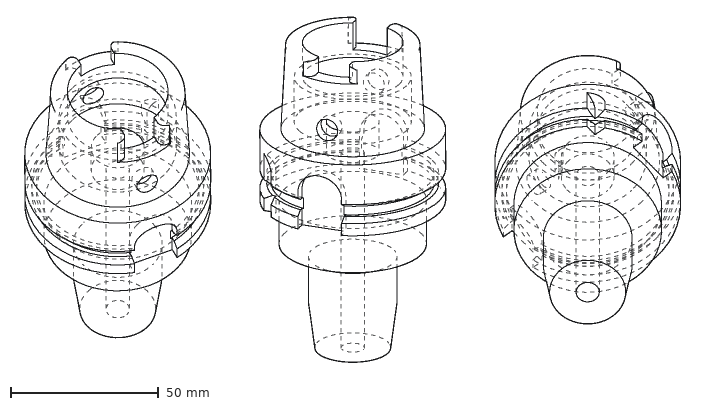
import cadquery as cq
import math

TOTAL_LENGTH = 112.0
TIP_RADIUS = 12.9
NECK_RADIUS = 15.0
BODY_RADIUS = 25.0
FLANGE_RADIUS = 31.5
TAPER_BASE_RADIUS = 24.3
TAPER_TOP_RADIUS = 22.7
TAPER_TOP_FILLET = 1.0

NOSE_TOP_Z = 16.6
NECK_TOP_Z = 33.5
BODY_BOTTOM_Z = 38.0
FLANGE_BOTTOM_Z = 54.2
FLANGE_TOP_Z = 80.2

GROOVE_FLOOR_RADIUS = 27.5
GROOVE_SIDE_RADIUS = 29.1
GROOVE_BOTTOM_Z = 60.3
GROOVE_TOP_Z = 64.1
GROOVE_FLARE = 1.6

BORE_RADIUS = 17.0
UNDERCUT_RADIUS = 19.8
UNDERCUT_TOP_Z = 99.3
BORE_FLOOR_Z = 82.9
COUNTERBORE_RADIUS = 9.0
COUNTERBORE_DEPTH = 11.2
THROUGH_RADIUS = 3.9

DRIVE_SLOT_WIDTH = 12.4
SHALLOW_SLOT_DEPTH = 5.7
DEEP_SLOT_DEPTH = 10.0
DRIVE_SLOT_CORNER = 2.5

CROSS_HOLE_RADIUS = 3.8
CROSS_HOLE_Z = 89.2

FLANGE_SLOT_TOP_Z = 75.3
FLANGE_SLOT_WIDTH = 15.9
FLANGE_SLOT_FLOOR_X = 26.5
NOTCH_WIDTH = 11.2
NOTCH_WALL_Y = 20.2
NOTCH_FLOOR_X = 19.8


def turned_body():
    """Revolve the outer profile, including the gripper groove."""
    profile = [
        (0, 0),
        (TIP_RADIUS, 0),
        (NECK_RADIUS, NOSE_TOP_Z),
        (NECK_RADIUS, NECK_TOP_Z),
        (BODY_RADIUS, BODY_BOTTOM_Z),
        (BODY_RADIUS, FLANGE_BOTTOM_Z),
        (FLANGE_RADIUS, FLANGE_BOTTOM_Z),
        (FLANGE_RADIUS, GROOVE_BOTTOM_Z - GROOVE_FLARE),
        (GROOVE_SIDE_RADIUS, GROOVE_BOTTOM_Z),
        (GROOVE_FLOOR_RADIUS, GROOVE_BOTTOM_Z),
        (GROOVE_FLOOR_RADIUS, GROOVE_TOP_Z),
        (GROOVE_SIDE_RADIUS, GROOVE_TOP_Z),
        (FLANGE_RADIUS, GROOVE_TOP_Z + GROOVE_FLARE),
        (FLANGE_RADIUS, FLANGE_TOP_Z),
        (TAPER_BASE_RADIUS, FLANGE_TOP_Z),
        (TAPER_TOP_RADIUS, TOTAL_LENGTH),
        (0, TOTAL_LENGTH),
    ]
    return cq.Workplane("XZ").polyline(profile).close().revolve(360, (0, 0), (0, 1))


def axial_hole():
    """Revolve the clamping bore, its undercut, the counterbore and the through hole."""
    counterbore_floor_z = BORE_FLOOR_Z - COUNTERBORE_DEPTH
    profile = [
        (0, 0),
        (THROUGH_RADIUS, 0),
        (THROUGH_RADIUS, counterbore_floor_z),
        (COUNTERBORE_RADIUS, counterbore_floor_z),
        (COUNTERBORE_RADIUS, BORE_FLOOR_Z),
        (UNDERCUT_RADIUS, BORE_FLOOR_Z),
        (UNDERCUT_RADIUS, UNDERCUT_TOP_Z),
        (BORE_RADIUS, UNDERCUT_TOP_Z),
        (BORE_RADIUS, TOTAL_LENGTH),
        (0, TOTAL_LENGTH),
    ]
    return cq.Workplane("XZ").polyline(profile).close().revolve(360, (0, 0), (0, 1))


def drive_slot(side, depth):
    """Slot opening the taper end from the axis outward; side is -1 or 1 along X.

    Its mouth flares along arcs tangent to the slot walls and to the taper's rim.
    """
    half_width = DRIVE_SLOT_WIDTH / 2
    arc_centre_radius = TAPER_TOP_RADIUS - DRIVE_SLOT_CORNER
    arc_y = half_width + DRIVE_SLOT_CORNER
    arc_x = math.sqrt(arc_centre_radius**2 - arc_y**2)
    rim_angle = math.atan2(arc_y, arc_x)
    middle_angle = (rim_angle - math.pi / 2) / 2

    def on_arc(angle):
        x = arc_x + DRIVE_SLOT_CORNER * math.cos(angle)
        y = arc_y + DRIVE_SLOT_CORNER * math.sin(angle)
        return (side * x, y)

    half_slot = (
        cq.Workplane("XY", origin=(0, 0, TOTAL_LENGTH - depth))
        .lineTo(0, half_width)
        .lineTo(side * arc_x, half_width)
        .threePointArc(on_arc(middle_angle), on_arc(rim_angle))
        .lineTo(side * FLANGE_RADIUS * math.cos(rim_angle), FLANGE_RADIUS * math.sin(rim_angle))
        .lineTo(side * FLANGE_RADIUS, 0)
        .close()
        .extrude(depth)
    )
    return half_slot.union(half_slot.mirror("XZ"))


def flange_slot(side, centre_y, width, floor_x):
    """Round-topped slot from the flange underside, with a flat floor facing along X."""
    arch_radius = width / 2
    arch_z = FLANGE_SLOT_TOP_Z - arch_radius
    return (
        cq.Workplane("YZ", origin=(side * floor_x, 0, 0))
        .moveTo(centre_y - arch_radius, FLANGE_BOTTOM_Z)
        .lineTo(centre_y - arch_radius, arch_z)
        .threePointArc((centre_y, FLANGE_SLOT_TOP_Z), (centre_y + arch_radius, arch_z))
        .lineTo(centre_y + arch_radius, FLANGE_BOTTOM_Z)
        .close()
        .extrude(side * FLANGE_RADIUS)
    )


holder = turned_body().faces(">Z").edges().fillet(TAPER_TOP_FILLET)
holder = holder.cut(axial_hole())
holder = holder.cut(drive_slot(-1, SHALLOW_SLOT_DEPTH))
holder = holder.cut(drive_slot(1, DEEP_SLOT_DEPTH))

cross_hole = cq.Workplane("YZ").center(0, CROSS_HOLE_Z).circle(CROSS_HOLE_RADIUS)
holder = holder.cut(cross_hole.extrude(FLANGE_RADIUS, both=True))

for slot_side in (-1, 1):
    holder = holder.cut(flange_slot(slot_side, 0, FLANGE_SLOT_WIDTH, FLANGE_SLOT_FLOOR_X))
notch_centre_y = NOTCH_WALL_Y + NOTCH_WIDTH / 2
holder = holder.cut(flange_slot(-1, notch_centre_y, NOTCH_WIDTH, NOTCH_FLOOR_X))

result = holder